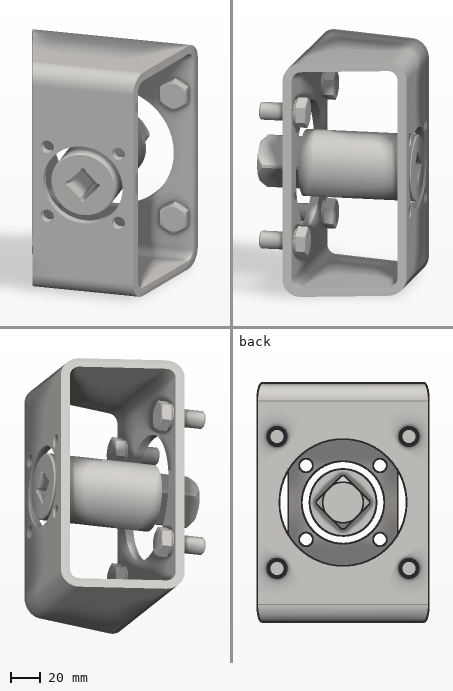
import cadquery as cq
import math


HOUSING_HEIGHT = 160.0
HOUSING_DEPTH = 80.0
BACK_WIDTH = 115.0
FRONT_WIDTH = 70.0
WALL = 6.0
OUTER_RADIUS = 12.0
INNER_RADIUS = OUTER_RADIUS - WALL
BACK_OPENING_DIAMETER = 85.0
FRONT_OPENING_DIAMETER = 55.0
FRONT_HOLE_DIAMETER = 9.0
FRONT_HOLE_SPACING = 49.5
BOLT_SPACING = 88.3
BOLT_HOLE_DIAMETER = 13.0

WASHER_DIAMETER = 18.0
WASHER_THICKNESS = 1.2

BOLT_DIAMETER = 12.0
BOLT_LENGTH = 25.1
BOLT_TIP_CHAMFER = 1.0
HEAD_ACROSS_FLATS = 18.0
HEAD_HEIGHT = 7.5
HEAD_RIM_DIAMETER = 17.3
HEAD_COLLAR_DIAMETER = 16.6
HEAD_COLLAR_HEIGHT = 0.6
HEAD_CHAMFER_ANGLE = 20.0

BARREL_DIAMETER = 45.0
BARREL_LENGTH = 77.0
BARREL_CHAMFER = 1.0
TAIL_PROJECTION = 27.0
TAIL_ACROSS_FLATS = 26.5
TAIL_ACROSS_CORNERS = 35.5
TAIL_CHAMFER = 4.2
SOCKET_ACROSS_FLATS = 17.0
SOCKET_DEPTH = 32.0
SOCKET_RELIEF_RADIUS = 2.0

INNER_BACK_Y = -WALL
FRONT_Y = -HOUSING_DEPTH


def xz_plane(y):
    """Sketch plane at the given Y whose extrusions run toward +Y (local y is -Z)."""
    return cq.Workplane(cq.Plane(origin=(0, y, 0), xDir=(1, 0, 0), normal=(0, 1, 0)))


def make_housing():
    mid_y = FRONT_Y / 2
    yz = cq.Workplane("YZ").center(mid_y, 0)
    outer = yz.rect(HOUSING_DEPTH, HOUSING_HEIGHT).extrude(BACK_WIDTH / 2, both=True)
    outer = outer.edges("|X").fillet(OUTER_RADIUS)
    inner = yz.rect(HOUSING_DEPTH - 2 * WALL, HOUSING_HEIGHT - 2 * WALL).extrude(BACK_WIDTH / 2, both=True)
    inner = inner.edges("|X").fillet(INNER_RADIUS)

    taper = (
        cq.Workplane("XY")
        .polyline([
            (-BACK_WIDTH / 2, 0),
            (BACK_WIDTH / 2, 0),
            (FRONT_WIDTH / 2, FRONT_Y),
            (-FRONT_WIDTH / 2, FRONT_Y),
        ])
        .close()
        .extrude(HOUSING_HEIGHT / 2, both=True)
    )
    housing = outer.cut(inner).intersect(taper)

    back = xz_plane(INNER_BACK_Y)
    housing = housing.cut(back.circle(BACK_OPENING_DIAMETER / 2).extrude(WALL))
    bolt_holes = back.rect(BOLT_SPACING, BOLT_SPACING, forConstruction=True).vertices()
    housing = housing.cut(bolt_holes.circle(BOLT_HOLE_DIAMETER / 2).extrude(WALL))

    front = xz_plane(FRONT_Y)
    housing = housing.cut(front.circle(FRONT_OPENING_DIAMETER / 2).extrude(WALL))
    small_holes = front.rect(FRONT_HOLE_SPACING, FRONT_HOLE_SPACING, forConstruction=True).vertices()
    return housing.cut(small_holes.circle(FRONT_HOLE_DIAMETER / 2).extrude(WALL))


def make_spindle():
    barrel_back_y = FRONT_Y + BARREL_LENGTH
    barrel = xz_plane(FRONT_Y).circle(BARREL_DIAMETER / 2).extrude(BARREL_LENGTH)
    barrel = barrel.faces("<Y").chamfer(BARREL_CHAMFER)

    tail_length = TAIL_PROJECTION - barrel_back_y
    tail_plane = xz_plane(barrel_back_y)
    turned = tail_plane.circle(TAIL_ACROSS_CORNERS / 2).extrude(tail_length)
    turned = turned.faces(">Y").chamfer(TAIL_CHAMFER)
    square = tail_plane.transformed(rotate=(0, 0, 45)).rect(TAIL_ACROSS_FLATS, TAIL_ACROSS_FLATS)
    tail = turned.intersect(square.extrude(tail_length))

    socket = (
        xz_plane(FRONT_Y)
        .transformed(rotate=(0, 0, 45))
        .rect(SOCKET_ACROSS_FLATS, SOCKET_ACROSS_FLATS)
        .extrude(SOCKET_DEPTH)
    )
    relief_circle_radius = SOCKET_ACROSS_FLATS / math.sqrt(2) - SOCKET_RELIEF_RADIUS
    reliefs = (
        xz_plane(FRONT_Y)
        .polarArray(relief_circle_radius, 0, 360, 4)
        .circle(SOCKET_RELIEF_RADIUS)
        .extrude(SOCKET_DEPTH)
    )
    return barrel.union(tail).cut(socket).cut(reliefs)


def make_washer(x, z):
    washer = (
        xz_plane(INNER_BACK_Y - WASHER_THICKNESS)
        .circle(WASHER_DIAMETER / 2)
        .circle(BOLT_HOLE_DIAMETER / 2)
        .extrude(WASHER_THICKNESS)
    )
    return washer.translate((x, 0, z))


def make_bolt(x, z):
    seat_y = INNER_BACK_Y - WASHER_THICKNESS
    head_front_y = seat_y - HEAD_HEIGHT
    hex_height = HEAD_HEIGHT - HEAD_COLLAR_HEIGHT
    across_corners = HEAD_ACROSS_FLATS / math.cos(math.radians(30))

    shank = xz_plane(seat_y).circle(BOLT_DIAMETER / 2).extrude(BOLT_LENGTH)
    shank = shank.faces(">Y").chamfer(BOLT_TIP_CHAMFER)
    collar = xz_plane(seat_y - HEAD_COLLAR_HEIGHT).circle(HEAD_COLLAR_DIAMETER / 2).extrude(HEAD_COLLAR_HEIGHT)

    hexagon = (
        xz_plane(head_front_y)
        .transformed(rotate=(0, 0, 90))
        .polygon(6, across_corners)
        .extrude(hex_height)
    )
    rim_drop = (across_corners - HEAD_RIM_DIAMETER) / 2
    trim = xz_plane(head_front_y).circle(across_corners / 2).extrude(hex_height)
    trim = trim.faces("<Y").chamfer(rim_drop * math.tan(math.radians(HEAD_CHAMFER_ANGLE)), rim_drop)
    return shank.union(collar).union(hexagon.intersect(trim)).translate((x, 0, z))


BOLT_POSITIONS = [
    (side_x * BOLT_SPACING / 2, side_z * BOLT_SPACING / 2)
    for side_x in (-1, 1)
    for side_z in (-1, 1)
]

housing = make_housing()
spindle = make_spindle()
washers = [make_washer(x, z) for x, z in BOLT_POSITIONS]
bolts = [make_bolt(x, z) for x, z in BOLT_POSITIONS]

result = cq.Compound.makeCompound([
    housing.val(),
    spindle.val(),
    *[washer.val() for washer in washers],
    *[bolt.val() for bolt in bolts],
])